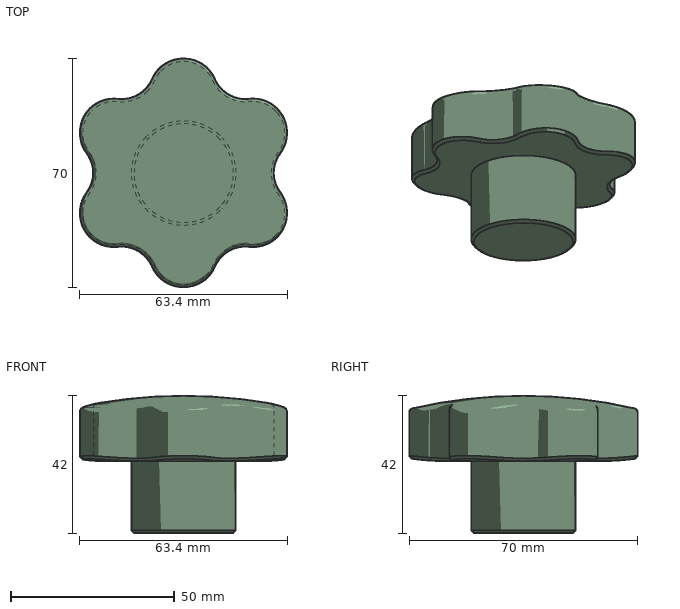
import cadquery as cq
import math

total_height = 42.0
outer_radius = 35.0

lobe_count = 6
lobe_radius = 10.5
grip_radius = 10.0
first_lobe_angle = 90.0
lobe_center_radius = outer_radius - lobe_radius
half_pitch = 180.0 / lobe_count

stem_diameter = 32.0
stem_length = 22.0
stem_chamfer = 0.85
stem_overlap = 0.7

dome_drop = 4.05
flat_radius = 24.5
underside_rise = 0.85
top_fillet = 1.5
bottom_chamfer = 0.85
blank_margin = 3.5


def polar(radius, degrees):
    angle = math.radians(degrees)
    return radius * math.cos(angle), radius * math.sin(angle)


def tangent_arc_radius(chord_run, drop):
    """Radius of an arc that starts level and drops by `drop` over `chord_run`."""
    return (chord_run**2 + drop**2) / (2 * drop)


def arc_drop(radius, run):
    return radius - math.sqrt(radius**2 - run**2)


def make_star():
    """Prism of the lobed outline over the height of the head."""
    half_angle = math.radians(half_pitch)
    side_offset = lobe_center_radius * math.sin(half_angle)
    center_distance = lobe_radius + grip_radius
    grip_center_radius = (
        lobe_center_radius * math.cos(half_angle)
        + math.sqrt(center_distance**2 - side_offset**2)
    )
    grip_bottom_radius = grip_center_radius - grip_radius

    share = lobe_radius / center_distance
    grip_x, grip_y = polar(grip_center_radius, half_pitch)
    joint_x = lobe_center_radius + share * (grip_x - lobe_center_radius)
    joint_y = share * grip_y
    joint_radius = math.hypot(joint_x, joint_y)
    joint_angle = math.degrees(math.atan2(joint_y, joint_x))

    pitch = 2 * half_pitch
    outline = cq.Workplane("XY").workplane(offset=stem_length)
    outline = outline.moveTo(*polar(joint_radius, first_lobe_angle - joint_angle))
    for index in range(lobe_count):
        lobe_angle = first_lobe_angle + index * pitch
        outline = outline.threePointArc(
            polar(outer_radius, lobe_angle),
            polar(joint_radius, lobe_angle + joint_angle),
        )
        outline = outline.threePointArc(
            polar(grip_bottom_radius, lobe_angle + half_pitch),
            polar(joint_radius, lobe_angle + pitch - joint_angle),
        )
    return outline.close().extrude(total_height - stem_length)


def make_head_blank():
    """Turned blank, wider than the star, with the dome and the curved underside."""
    blank_radius = outer_radius + blank_margin
    dome_radius = tangent_arc_radius(outer_radius, dome_drop)
    rim_run = outer_radius - flat_radius
    underside_radius = tangent_arc_radius(rim_run, underside_rise)

    def dome_point(radius):
        return radius, total_height - arc_drop(dome_radius, radius)

    def underside_point(radius):
        return radius, stem_length + arc_drop(underside_radius, radius - flat_radius)

    return (
        cq.Workplane("XZ")
        .moveTo(0, stem_length)
        .lineTo(flat_radius, stem_length)
        .threePointArc(
            underside_point((flat_radius + blank_radius) / 2),
            underside_point(blank_radius),
        )
        .lineTo(*dome_point(blank_radius))
        .threePointArc(dome_point(blank_radius / 2), (0, total_height))
        .close()
        .revolve(360, (0, 0), (0, 1))
    )


def make_head():
    head = make_star().intersect(make_head_blank())
    head = head.faces(">Z").edges().fillet(top_fillet)
    rim_level = stem_length + underside_rise
    lower_rim = cq.selectors.BoxSelector(
        (-2 * outer_radius, -2 * outer_radius, stem_length - underside_rise),
        (2 * outer_radius, 2 * outer_radius, rim_level + underside_rise),
        boundingbox=True,
    )
    return head.edges(lower_rim).edges("not %CIRCLE").chamfer(bottom_chamfer)


def make_stem():
    stem = cq.Workplane("XY").circle(stem_diameter / 2).extrude(stem_length + stem_overlap)
    return stem.faces("<Z").edges().chamfer(stem_chamfer)


result = make_head().union(make_stem())